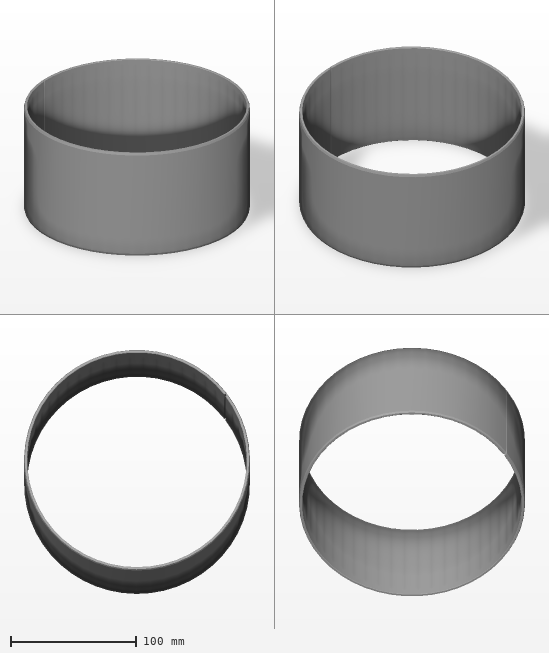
import cadquery as cq

outer_diameter = 180.0
height = 90.0
wall = 2.5
outer_bevel_height = 1.8
outer_bevel_depth = 0.65
inner_bevel = 0.4
gap_angle = 1.0

outer_radius = outer_diameter / 2
inner_radius = outer_radius - wall
rim_outer_radius = outer_radius - outer_bevel_depth
rim_inner_radius = inner_radius + inner_bevel

wall_section = [
    (-inner_radius, inner_bevel),
    (-rim_inner_radius, 0),
    (-rim_outer_radius, 0),
    (-outer_radius, outer_bevel_height),
    (-outer_radius, height - outer_bevel_height),
    (-rim_outer_radius, height),
    (-rim_inner_radius, height),
    (-inner_radius, height - inner_bevel),
]

result = (
    cq.Workplane("XZ")
    .polyline(wall_section)
    .close()
    .revolve(360 - gap_angle, (0, 0), (0, 1))
)